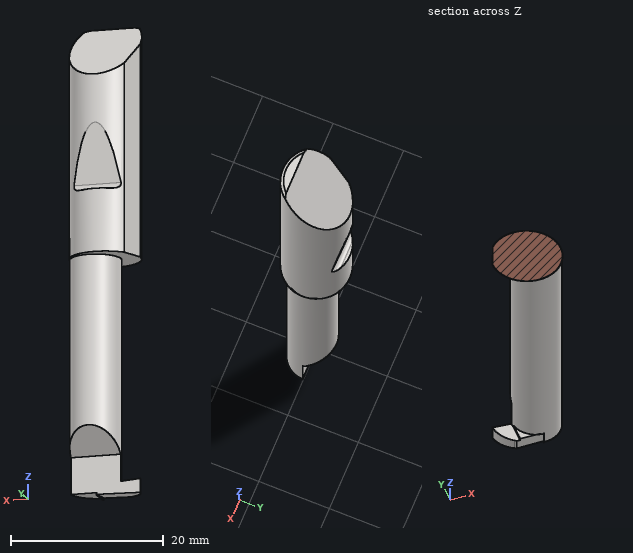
import cadquery as cq

total_length = 63.5
shank_radius = 4.75
shank_bottom = 31.75
top_chamfer_width = 0.45
top_chamfer_height = 0.2
slant_start_y = -3.05
flat_end_x = -3.55
flat_end_y = 3.2

notch_top = 49.2
notch_bottom = 40.25
notch_depth = 1.4
notch_corner_radius = 0.75

neck_radius = 3.4
neck_center_x = shank_radius - neck_radius
neck_bottom = 0.4
relief_height = 5.35

head_front_y = -3.25
head_right_x = 1.3
head_top = 1.9
land_start = (-2.8, -3.05)
land_end_x = -2.55
flank_middle = (-4.1, -1.8)
tooth_root_x = -2.05

underside_angle = 3.5
underside_angle_x = 1.5
top_angle = 1.5
top_angle_x = 4.0

overlap = 0.65


def across_shank(points):
    """Extrude a (y, z) outline across the full width of the shank."""
    half_width = shank_radius + overlap
    return cq.Workplane("YZ").polyline(points).close().extrude(half_width, both=True)


def make_shank():
    shank = (
        cq.Workplane("XY", origin=(0, 0, shank_bottom))
        .circle(shank_radius)
        .extrude(total_length - shank_bottom)
        .faces(">Z")
        .chamfer(top_chamfer_height, top_chamfer_width)
    )
    outer_y = shank_radius + overlap
    slant = across_shank([
        (slant_start_y, total_length),
        (outer_y, total_length - (outer_y - slant_start_y)),
        (outer_y, total_length + overlap),
        (slant_start_y, total_length + overlap),
    ])
    side_flat = (
        cq.Workplane("XY", origin=(0, 0, shank_bottom))
        .polyline([(-shank_radius, 0), (flat_end_x, flat_end_y), (-shank_radius, flat_end_y)])
        .close()
        .extrude(total_length - shank_bottom)
    )
    floor_y = shank_radius - notch_depth
    floor_rise_per_y = (notch_top - notch_bottom) / notch_depth
    notch = across_shank([
        (floor_y, notch_bottom),
        (outer_y, notch_bottom),
        (outer_y, notch_top + overlap * floor_rise_per_y),
    ])
    notch = notch.edges("|X and <Z and <Y").fillet(notch_corner_radius)
    return shank.cut(slant).cut(side_flat).cut(notch)


def make_neck():
    neck = (
        cq.Workplane("XY", origin=(neck_center_x, 0, neck_bottom))
        .circle(neck_radius)
        .extrude(shank_bottom - neck_bottom)
    )
    outer_y = neck_radius + overlap
    relief = across_shank([
        (0, 0),
        (outer_y, 0),
        (outer_y, relief_height + outer_y),
        (0, relief_height),
    ])
    pocket = cq.Workplane("XY").box(
        head_right_x + shank_radius, neck_radius + overlap, head_top, centered=False
    ).translate((-shank_radius, head_front_y - neck_radius - overlap, 0))
    return neck.cut(relief).cut(pocket)


def relief_block(x_end, angle, angle_x):
    """Block up to x_end whose lower face passes through the tip and falls towards -Y and +X."""
    tip = (-shank_radius, 0, 0)
    block = cq.Workplane("XY").box(
        x_end + shank_radius + overlap, neck_radius + 2 * overlap, head_top, centered=False
    ).translate((-shank_radius - overlap, -neck_radius - overlap, 0))
    block = block.rotate(tip, (-shank_radius + 0.65, 0, 0), angle)
    return block.rotate(tip, (-shank_radius, 1, 0), angle_x)


def make_head():
    head = (
        cq.Workplane("XY")
        .moveTo(-shank_radius, 0)
        .threePointArc(flank_middle, land_start)
        .lineTo(land_end_x, head_front_y)
        .lineTo(head_right_x, head_front_y)
        .lineTo(head_right_x, 0)
        .close()
        .extrude(head_top)
    )
    underside = relief_block(head_right_x, underside_angle, underside_angle_x)
    underside = underside.mirror("XY")
    tooth_top = relief_block(tooth_root_x, top_angle, top_angle_x).translate((0, 0, head_top))
    return head.cut(underside).cut(tooth_top)


result = make_shank().union(make_neck()).union(make_head())